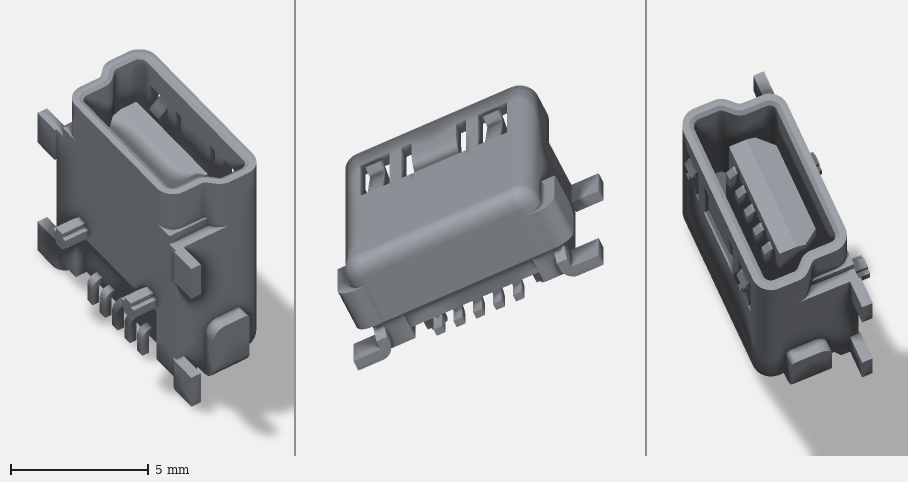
import cadquery as cq
import math


half_width = 3.85
depth = 3.9
height = 9.2
sheet = 0.42
back_corner_radius = 0.73
bottom_edge_radius = 0.68

mouth_front_half = 3.33
mouth_corner_radius = 0.7
shoulder_start_y = 2.4
shoulder_angle = math.radians(45)
shoulder_inner_radius = 0.25
mouth_base_z = 7.0
front_step_half = 3.43
front_step_depth = 1.66
front_step_top = 7.41
lip_width = 0.16
lip_depth = 0.1
socket_floor_z = 3.0

tongue_half = 2.29
tongue_tip_half = 1.78
tongue_front_y = 0.8
tongue_corner_y = 1.43
tongue_slope_y = 1.78
tongue_back_y = 2.47
tongue_top_z = 8.3
tongue_slope = math.radians(22)
spring_top_z = 7.6
spring_width = 0.31
spring_back_y = 2.82
spring_flat = 0.08

opening_top_z = 8.1
opening_bottom_z = 5.5
window_center_x = 2.37
window_width = 1.17
latch_width = 0.62
latch_inner_y = 3.28
latch_tip_y = 4.08
latch_tip_z = 7.31
latch_tilt = math.radians(23)
latch_thickness = sheet
latch_bend_z = 7.15
lance_half = 0.9
lance_opening_half = 1.3
lance_inner_y = 3.1
lance_bow_z = 7.0
lance_end_gap = 0.3

foot_front_y = -0.08
foot_half_span = 4.95
upper_foot_bottom_z = 5.49
lower_foot_top_z = 1.47
foot_bend_x = 3.96
foot_wall_top_z = 0.61
foot_wall_slope_y = (0.7, 0.97)
front_plate_half = 3.73
leg_bottom_z = 0.49
insulator_bottom_z = 0.68
recess_half = 2.6
recess_top_z = 2.92
recess_depth = 0.37
floor_front_y = 1.29
peg_x = 2.2
peg_size = 0.79
peg_arm = 0.4
peg_length = 1.01
contact_count = 5
contact_pitch = 0.8
tail_width = 0.35
tail_thickness = 0.28
tail_front_y = -0.06
tail_bottom_z = 0.03
tail_top_z = 1.21
tail_bend_radius = 0.37

ear_half_span = 4.38
ear_back_y = 2.89
ear_top_z = 2.61
ear_front_radius = 0.52
ear_back_radius = 0.2


def block(x0, x1, y0, y1, z0, z1):
    """Axis-aligned box between two opposite corners."""
    return cq.Workplane("XY").box(x1 - x0, y1 - y0, z1 - z0, centered=False).translate((x0, y0, z0))


def mid_block(half, y0, y1, z0, z1):
    """Box centred on X = 0."""
    return block(-half, half, y0, y1, z0, z1)


def yz_prism(sketch, x_center, width):
    """Extrude a closed YZ sketch symmetrically about x_center."""
    return sketch.extrude(width / 2, both=True).translate((x_center, 0, 0))


def both_sides(solid):
    return solid.union(solid.mirror("YZ"))


def contact_positions():
    middle = (contact_count - 1) / 2
    return [(i - middle) * contact_pitch for i in range(contact_count)]


def mouth_sketch():
    """Closed D-like outline: wide at the back, shoulders at 45 degrees, narrower at the front."""
    r = mouth_corner_radius
    s = shoulder_inner_radius
    turn = shoulder_angle
    outer_end = (half_width - r * (1 - math.cos(turn)), shoulder_start_y - r * math.sin(turn))
    inner_start_x = mouth_front_half + s * (1 - math.cos(turn))
    inner_start_y = outer_end[1] - (outer_end[0] - inner_start_x) * math.tan(turn)
    inner_end_y = inner_start_y - s * math.sin(turn)
    half_turn = turn / 2
    outer_mid = (half_width - r * (1 - math.cos(half_turn)), shoulder_start_y - r * math.sin(half_turn))
    inner_mid = (mouth_front_half + s * (1 - math.cos(half_turn)), inner_end_y + s * math.sin(half_turn))
    rear = back_corner_radius
    diagonal_inset = 1 - math.sqrt(0.5)
    rear_inset = rear * diagonal_inset
    front_inset = r * diagonal_inset

    return (
        cq.Workplane("XY")
        .moveTo(0, depth)
        .lineTo(half_width - rear, depth)
        .threePointArc((half_width - rear_inset, depth - rear_inset), (half_width, depth - rear))
        .lineTo(half_width, shoulder_start_y)
        .threePointArc(outer_mid, outer_end)
        .lineTo(inner_start_x, inner_start_y)
        .threePointArc(inner_mid, (mouth_front_half, inner_end_y))
        .lineTo(mouth_front_half, r)
        .threePointArc((mouth_front_half - front_inset, front_inset), (mouth_front_half - r, 0))
        .lineTo(0, 0)
        .mirrorY()
    )


def make_shell():
    mouth = mouth_sketch().extrude(height - mouth_base_z).translate((0, 0, mouth_base_z))
    rear = mid_block(half_width, floor_front_y, depth, 0, mouth_base_z)
    rear = rear.edges("|Z and >Y").fillet(back_corner_radius)
    rear = rear.faces("<Z").edges("not <Y").fillet(bottom_edge_radius)
    front = mid_block(half_width, 0, floor_front_y, lower_foot_top_z, mouth_base_z)
    plate = mid_block(front_plate_half, 0, floor_front_y, insulator_bottom_z, lower_foot_top_z)
    step = mid_block(front_step_half, 0, front_step_depth, mouth_base_z, front_step_top)
    leg = block(recess_half, front_plate_half, 0, floor_front_y, leg_bottom_z, lower_foot_top_z)
    shell = rear.union(front).union(plate).union(step).union(mouth).union(both_sides(leg))
    return shell.cut(mid_block(recess_half, 0, recess_depth, 0, recess_top_z))


def make_socket():
    cavity = mouth_sketch().offset2D(-sheet).extrude(height - socket_floor_z)
    cavity = cavity.translate((0, 0, socket_floor_z))
    lip_taper = math.degrees(math.atan2(lip_width, lip_depth))
    lip = (
        mouth_sketch()
        .offset2D(lip_width - sheet)
        .extrude(-lip_depth, taper=lip_taper)
        .translate((0, 0, height))
    )
    return cavity.union(lip)


def make_tongue():
    outline = [
        (-tongue_half, tongue_back_y),
        (tongue_half, tongue_back_y),
        (tongue_half, tongue_corner_y),
        (tongue_tip_half, tongue_front_y),
        (-tongue_tip_half, tongue_front_y),
        (-tongue_half, tongue_corner_y),
    ]
    tongue = cq.Workplane("XY").polyline(outline).close().extrude(tongue_top_z - socket_floor_z)
    tongue = tongue.translate((0, 0, socket_floor_z))
    drop = (tongue_slope_y - tongue_front_y) * math.tan(tongue_slope)
    wedge = (
        cq.Workplane("YZ")
        .moveTo(tongue_slope_y, tongue_top_z)
        .lineTo(tongue_front_y, tongue_top_z - drop)
        .lineTo(tongue_front_y, tongue_top_z)
        .close()
    )
    return tongue.cut(yz_prism(wedge, 0, 2 * tongue_half))


def make_spring(x):
    flat_y = tongue_back_y + spring_flat
    sketch = (
        cq.Workplane("YZ")
        .moveTo(tongue_back_y, socket_floor_z)
        .lineTo(tongue_back_y, spring_top_z)
        .lineTo(flat_y, spring_top_z)
        .lineTo(spring_back_y, spring_top_z - (spring_back_y - flat_y))
        .lineTo(spring_back_y, socket_floor_z)
        .close()
    )
    return yz_prism(sketch, x, spring_width)


def make_back_openings():
    wall_y = depth - sheet
    window = block(-window_width / 2, window_width / 2, wall_y, depth, opening_bottom_z, opening_top_z)
    openings = both_sides(window.translate((window_center_x, 0, 0)))
    return openings.union(mid_block(lance_opening_half, wall_y, depth, opening_bottom_z, opening_top_z))


def make_latch():
    """Arm rooted below its window, leaning inward and then out through it to a squared tip."""
    end_y = latch_tip_y - latch_thickness * math.sin(latch_tilt)
    end_z = latch_tip_z + latch_thickness * math.cos(latch_tilt)
    bend_y = latch_inner_y + latch_thickness
    sketch = (
        cq.Workplane("YZ")
        .moveTo(depth, opening_bottom_z)
        .lineTo(bend_y, latch_bend_z)
        .lineTo(depth, latch_tip_z - (latch_tip_y - depth) * math.tan(latch_tilt))
        .lineTo(latch_tip_y, latch_tip_z)
        .lineTo(end_y, end_z)
        .lineTo(latch_inner_y, latch_bend_z)
        .lineTo(depth - sheet, opening_bottom_z)
        .close()
    )
    return yz_prism(sketch, window_center_x, latch_width)


def make_lance():
    """Strip hanging from the top of its opening and bowed into the socket."""
    end_z = opening_bottom_z + lance_end_gap
    drop = lance_bow_z - end_z
    bow = depth - sheet - lance_inner_y
    radius = (drop**2 + bow**2) / (2 * bow)
    half_angle = math.asin(drop / radius) / 2
    mid_bow = radius * (1 - math.cos(half_angle))
    mid_z = lance_bow_z - radius * math.sin(half_angle)
    sketch = (
        cq.Workplane("YZ")
        .moveTo(depth, opening_top_z)
        .lineTo(depth, lance_bow_z)
        .threePointArc((depth - mid_bow, mid_z), (depth - bow, end_z))
        .lineTo(lance_inner_y, end_z)
        .threePointArc((depth - sheet - mid_bow, mid_z), (depth - sheet, lance_bow_z))
        .lineTo(depth - sheet, opening_top_z)
        .close()
    )
    return yz_prism(sketch, 0, 2 * lance_half)


def make_upper_foot():
    back_y = foot_front_y + sheet
    return block(half_width, foot_half_span, foot_front_y, back_y, upper_foot_bottom_z, mouth_base_z)


def make_lower_foot():
    """Foot plate, its bend, and the strip of side wall that carries it."""
    wall_x = half_width - sheet
    outer = foot_bend_x - wall_x
    back_y = foot_front_y + sheet
    center_y = foot_front_y + outer
    diagonal = math.sqrt(0.5)
    outer_mid = (foot_bend_x - outer * diagonal, center_y - outer * diagonal)
    foot = (
        cq.Workplane("XY")
        .moveTo(foot_half_span, foot_front_y)
        .lineTo(foot_bend_x, foot_front_y)
        .threePointArc(outer_mid, (wall_x, center_y))
        .lineTo(wall_x, floor_front_y)
        .lineTo(half_width, floor_front_y)
        .lineTo(half_width, back_y)
        .lineTo(foot_half_span, back_y)
        .close()
        .extrude(lower_foot_top_z)
    )
    near_y, far_y = foot_wall_slope_y
    relief = (
        cq.Workplane("YZ")
        .moveTo(near_y, 0)
        .lineTo(far_y, foot_wall_top_z)
        .lineTo(floor_front_y, foot_wall_top_z)
        .lineTo(floor_front_y, 0)
        .close()
    )
    return foot.cut(yz_prism(relief, wall_x, 4 * sheet))


def make_ear():
    ear = block(mouth_front_half, ear_half_span, floor_front_y, ear_back_y, 0, ear_top_z)
    ear = ear.edges("|X and >Z and <Y").fillet(ear_front_radius)
    ear = ear.edges("|X and >Z and >Y").fillet(ear_back_radius)
    return ear.edges("|Y and <Z and >X").fillet(bottom_edge_radius)


def make_peg():
    """Cross-shaped locating peg."""
    mid_z = recess_top_z + peg_size / 2
    upright = block(-peg_arm / 2, peg_arm / 2, -peg_length, 0, -peg_size / 2, peg_size / 2)
    bar = block(-peg_size / 2, peg_size / 2, -peg_length, 0, -peg_arm / 2, peg_arm / 2)
    return upright.union(bar).translate((peg_x, 0, mid_z))


def make_tail(x):
    """Contact tail: out of the recess wall, then bent down."""
    r = tail_bend_radius
    inner = r - tail_thickness
    center_y = tail_front_y + r
    center_z = tail_top_z - r
    diagonal = math.sqrt(0.5)
    sketch = (
        cq.Workplane("YZ")
        .moveTo(recess_depth, tail_top_z)
        .lineTo(center_y, tail_top_z)
        .threePointArc((center_y - r * diagonal, center_z + r * diagonal), (tail_front_y, center_z))
        .lineTo(tail_front_y, tail_bottom_z)
        .lineTo(tail_front_y + tail_thickness, tail_bottom_z)
        .lineTo(tail_front_y + tail_thickness, center_z)
        .threePointArc(
            (center_y - inner * diagonal, center_z + inner * diagonal),
            (center_y, center_z + inner),
        )
        .lineTo(recess_depth, center_z + inner)
        .close()
    )
    return yz_prism(sketch, x, tail_width)


result = make_shell().cut(make_socket()).cut(make_back_openings())
result = result.union(make_tongue()).union(make_lance())
for side_part in (make_latch(), make_upper_foot(), make_lower_foot(), make_ear(), make_peg()):
    result = result.union(both_sides(side_part))
for contact_x in contact_positions():
    result = result.union(make_spring(contact_x)).union(make_tail(contact_x))